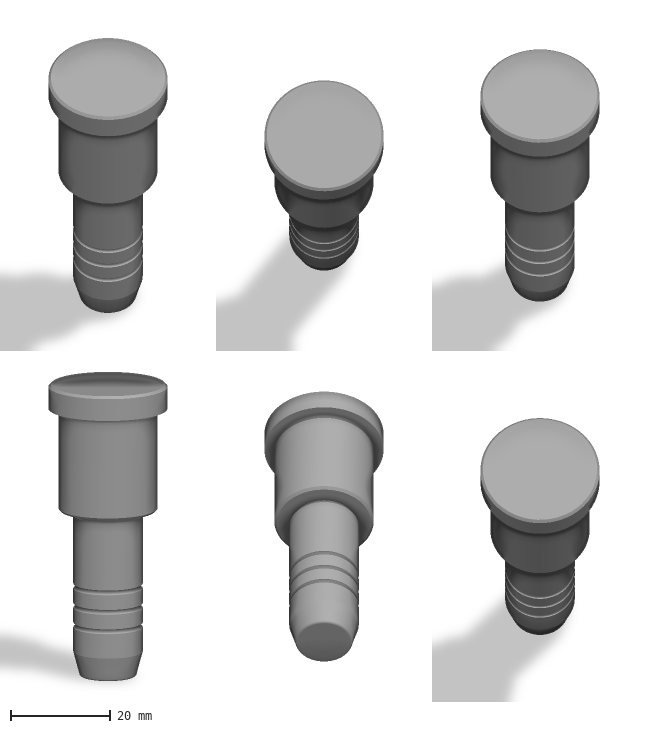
import cadquery as cq
import math

TOTAL_LENGTH = 60.0

HEAD_RADIUS = 12.0
HEAD_HEIGHT = 5.0

BODY_RADIUS = 10.0
BODY_LENGTH = 21.0

RELIEF_RADIUS = 6.5
RELIEF_LENGTH = 1.0

SHANK_RADIUS = 7.0
TAPER_LENGTH = 5.0
TAPER_ANGLE = 15.0

EDGE_CHAMFER = 0.5
TIP_FILLET = 0.5

GROOVE_RADIUS = 0.5
SHANK_GROOVE_COUNT = 3
SHANK_GROOVE_PITCH = 4.0
LOWEST_GROOVE_CENTRE = 10.5

head_bottom = TOTAL_LENGTH - HEAD_HEIGHT
body_bottom = head_bottom - BODY_LENGTH
shank_top = body_bottom - RELIEF_LENGTH
tip_radius = SHANK_RADIUS - TAPER_LENGTH * math.tan(math.radians(TAPER_ANGLE))


def cylinder(radius, bottom, top):
    """Cylinder on the Z axis between two levels."""
    return cq.Workplane("XY").workplane(offset=bottom).circle(radius).extrude(top - bottom)


def make_head():
    head = cylinder(HEAD_RADIUS, head_bottom, TOTAL_LENGTH)
    return head.faces(">Z").edges().chamfer(EDGE_CHAMFER)


def make_body():
    body = cylinder(BODY_RADIUS, body_bottom, head_bottom)
    return body.faces("<Z").edges().chamfer(EDGE_CHAMFER)


def make_shank():
    """Shank revolved together with its conical tip, whose end edge is rounded."""
    profile = (
        cq.Workplane("XZ")
        .moveTo(0, 0)
        .lineTo(tip_radius, 0)
        .lineTo(SHANK_RADIUS, TAPER_LENGTH)
        .lineTo(SHANK_RADIUS, shank_top)
        .lineTo(0, shank_top)
        .close()
    )
    shank = profile.revolve(360, (0, 0, 0), (0, 1, 0))
    return shank.faces("<Z").edges().fillet(TIP_FILLET)


def groove_cutter(surface_radius, centre):
    """Ring of half-round section that cuts a groove centred on a level."""
    profile = (
        cq.Workplane("XZ")
        .moveTo(surface_radius, centre - GROOVE_RADIUS)
        .threePointArc((surface_radius - GROOVE_RADIUS, centre), (surface_radius, centre + GROOVE_RADIUS))
        .close()
    )
    return profile.revolve(360, (0, 0, 0), (0, 1, 0))


result = make_head().union(make_body())
result = result.union(cylinder(RELIEF_RADIUS, shank_top, body_bottom))
result = result.union(make_shank())

result = result.cut(groove_cutter(BODY_RADIUS, head_bottom - GROOVE_RADIUS))

for index in range(SHANK_GROOVE_COUNT):
    groove_centre = LOWEST_GROOVE_CENTRE + index * SHANK_GROOVE_PITCH
    result = result.cut(groove_cutter(SHANK_RADIUS, groove_centre))